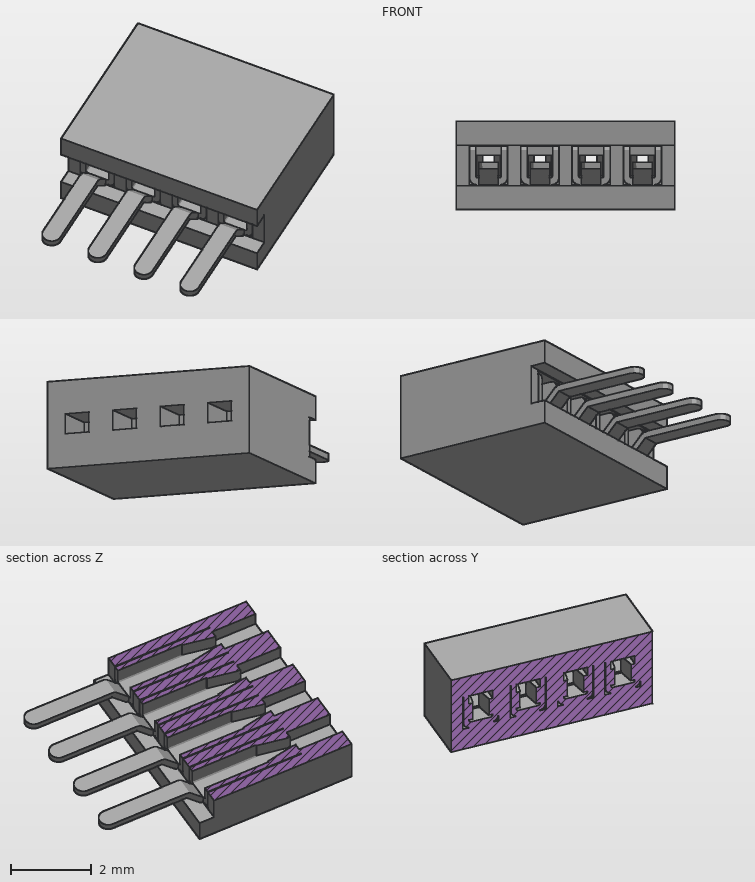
import cadquery as cq
import math

housing_width = 5.42
housing_length = 4.315
housing_height = 2.2
groove_depth = 0.41
groove_height = 1.0

contact_count = 4
pitch = 1.27
pocket_size = 0.95
contact_width = 0.94
contact_height = pocket_size
side_wall = 0.155
floor_wall = 0.17
outer_bend = 0.17
inner_bend = 0.055
wall_tip_radius = 0.15
contact_length = 2.68

opening_width = contact_width - 2 * side_wall
opening_height = 0.5

arm_gap = 0.28
arm_thickness = 0.1
arm_start = 1.81
arm_root_step = 0.03
arm_height = opening_height

pin_width = 0.48
pin_thickness = floor_wall
pin_bend_radius = 0.2
pin_root = 0.135
pin_reach = 6.7 - housing_length

floor_bottom = -contact_height / 2
floor_top = floor_bottom + floor_wall
inner_half = opening_width / 2


def box(x_size, y_start, y_end, z_bottom, z_top):
    """Box centred on X = 0 between the given Y and Z limits."""
    size = (x_size, y_end - y_start, z_top - z_bottom)
    return cq.Workplane("XY").box(*size, centered=(True, False, False)).translate((0, y_start, z_bottom))


def make_housing():
    half_height = housing_height / 2
    body = box(housing_width, 0, housing_length, -half_height, half_height)
    return body.cut(box(housing_width, 0, groove_depth, -groove_height / 2, groove_height / 2))


def make_cavity():
    """Square contact pocket plus the smaller opening through the far wall."""
    half = pocket_size / 2
    pocket = box(pocket_size, groove_depth, groove_depth + contact_length, -half, half)
    opening = box(opening_width, groove_depth, housing_length, -opening_height / 2, opening_height / 2)
    return pocket.union(opening)


def make_channel():
    """Open-topped U channel with bent lower corners and rounded wall tips."""
    half = contact_height / 2
    y_start = groove_depth
    y_end = groove_depth + contact_length
    outside = box(contact_width, y_start, y_end, -half, half)
    outside = outside.edges("|Y and <Z").fillet(outer_bend)
    outside = outside.edges("|X and <Y and >Z").fillet(wall_tip_radius)
    inside = box(opening_width, y_start, y_end, floor_top, half)
    inside = inside.edges("|Y and <Z").fillet(inner_bend)
    return outside.cut(inside)


def make_arm(side):
    """Spring arm leaning inward from the wall on the given side (-1 or 1)."""
    y_start = groove_depth + arm_start
    y_end = groove_depth + contact_length
    tip = arm_gap / 2
    outline = [
        (side * inner_half, y_start),
        (side * (inner_half - arm_root_step), y_start),
        (side * tip, y_end - arm_thickness),
        (side * tip, y_end),
        (side * inner_half, y_end),
    ]
    arm = cq.Workplane("XY").polyline(outline).close().extrude(arm_height)
    return arm.translate((0, 0, -arm_height / 2))


def make_pin():
    """Flat pin rising at 45 degrees from the channel floor to a straight, round-ended blade."""
    half = pin_thickness / 2
    rise = -half - floor_bottom
    bend_shift = pin_thickness * math.tan(math.radians(22.5))
    upper_low = (groove_depth, floor_top)
    upper_high = (groove_depth - rise, half)
    lower_low = (groove_depth - bend_shift, floor_bottom)
    lower_high = (groove_depth - bend_shift - rise, -half)
    profile = [
        lower_low,
        lower_high,
        (-pin_reach, -half),
        (-pin_reach, half),
        upper_high,
        upper_low,
        (groove_depth + pin_root, floor_top),
        (groove_depth + pin_root, floor_bottom),
    ]
    strip = cq.Workplane("YZ").polyline(profile).close().extrude(pin_width / 2, both=True)
    bend_edge = cq.selectors.NearestToPointSelector((0, *upper_high))
    strip = strip.edges("|X").edges(bend_edge).fillet(pin_bend_radius)

    tip_centre = pin_width / 2 - pin_reach
    straight = box(pin_width, tip_centre, groove_depth + pin_root, floor_bottom, half)
    round_end = cq.Workplane("XY").circle(pin_width / 2).extrude(half - floor_bottom)
    plan = straight.union(round_end.translate((0, tip_centre, floor_bottom)))
    return strip.intersect(plan)


def make_contact():
    contact = make_channel().union(make_pin())
    for side in (-1, 1):
        contact = contact.union(make_arm(side))
    return contact


result = make_housing()
cavity = make_cavity()
contact = make_contact()
for index in range(contact_count):
    offset = ((index - (contact_count - 1) / 2) * pitch, 0, 0)
    result = result.cut(cavity.translate(offset)).union(contact.translate(offset))